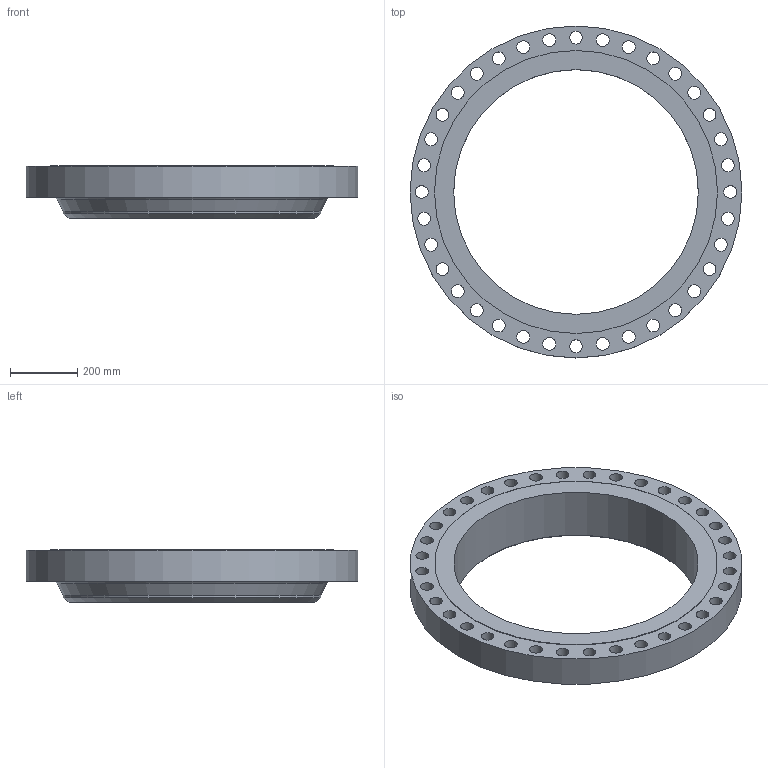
import cadquery as cq
import math

overall_height = 157.16
flange_diameter = 990.6
flange_thickness = 92.08
raised_face_diameter = 844.55
raised_face_height = 1.59
bore_diameter = 730.25

hub_base_diameter = 812.8
hub_fillet_radius = 14.0
weld_end_diameter = 768.35
weld_end_band_height = 7.25

bevel_angle = 37.5
weld_land_width = 1.6

bolt_hole_count = 36
bolt_hole_diameter = 38.1
bolt_circle_diameter = 920.75

selection_margin = 1.0

flange_radius = flange_diameter / 2
raised_face_radius = raised_face_diameter / 2
bore_radius = bore_diameter / 2
hub_base_radius = hub_base_diameter / 2
weld_end_radius = weld_end_diameter / 2
weld_land_radius = bore_radius + weld_land_width

bevel_height = (weld_end_radius - weld_land_radius) * math.tan(math.radians(bevel_angle))
taper_bottom = bevel_height + weld_end_band_height
flange_top = overall_height - raised_face_height
flange_bottom = flange_top - flange_thickness


def revolved_body():
    """Flange, raised face, tapered hub and bore as one revolved half-section."""
    half_section = (
        cq.Workplane("XZ")
        .moveTo(bore_radius, 0)
        .lineTo(weld_land_radius, 0)
        .lineTo(weld_end_radius, bevel_height)
        .lineTo(weld_end_radius, taper_bottom)
        .lineTo(hub_base_radius, flange_bottom)
        .lineTo(flange_radius, flange_bottom)
        .lineTo(flange_radius, flange_top)
        .lineTo(raised_face_radius, flange_top)
        .lineTo(raised_face_radius, overall_height)
        .lineTo(bore_radius, overall_height)
        .close()
    )
    return half_section.revolve(360, (0, 0, 0), (0, 1, 0))


def fillet_hub_base(body):
    """Round the inside corner where the hub taper meets the back of the flange."""
    reach = hub_base_radius + selection_margin
    corner_box = cq.selectors.BoxSelector(
        (-reach, -reach, flange_bottom - selection_margin),
        (reach, reach, flange_bottom + selection_margin),
        boundingbox=True,
    )
    return body.edges(corner_box).fillet(hub_fillet_radius)


def bolt_holes():
    """Through holes evenly spaced on the bolt circle, the first one on +X."""
    return (
        cq.Workplane("XY")
        .workplane(offset=flange_bottom)
        .polarArray(bolt_circle_diameter / 2, 0, 360, bolt_hole_count)
        .circle(bolt_hole_diameter / 2)
        .extrude(flange_thickness)
    )


result = fillet_hub_base(revolved_body()).cut(bolt_holes())